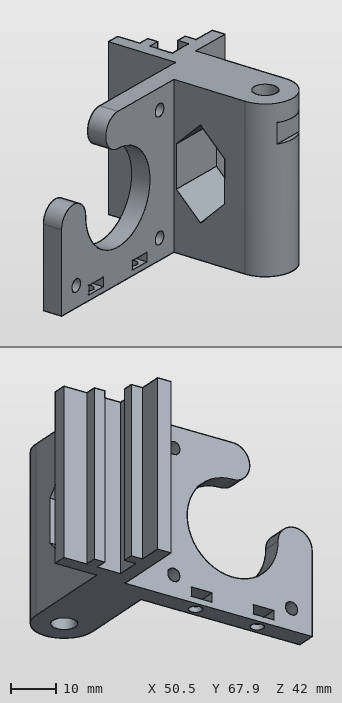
import cadquery as cq

LENGTH_X = 50.5
LENGTH_Y = 67.9
HEIGHT = 42.0
MID_Z = HEIGHT / 2

LEG_LENGTH = 18.5
LEG_THICKNESS = 3.5
RIB_OFFSET = 6.05
RIB_WIDTH = 2.8
RIB_HEIGHT = 3.0
CORNER_X = LEG_LENGTH
CORNER_Y = LENGTH_Y - LEG_LENGTH

ARM_WIDTH = 15.0
ARM_RADIUS = ARM_WIDTH / 2
ARM_END_X = LENGTH_X - ARM_RADIUS
PIVOT_DIAMETER = 6.0
NOTCH_DEPTH = 1.2
NOTCH_HEIGHT = 5.2
NOTCH_Z = 34.7

WINDOW_X = 30.75
WINDOW_WIDTH = 13.25
WINDOW_HEIGHT = 23.8
WINDOW_SIDE_HEIGHT = 11.0

PLATE_THICKNESS = 5.0
PLATE_MID_X = CORNER_X + PLATE_THICKNESS / 2
SEAT_DIAMETER = 24.0
SEAT_RADIUS = SEAT_DIAMETER / 2
FINGER_RADIUS = (MID_Z - SEAT_RADIUS) / 2
SEAT_Y = 2 * FINGER_RADIUS + SEAT_RADIUS
SCREW_DIAMETER = 3.2
SCREW_OFFSET = 15.55

NUT_SLOT_OFFSET = 8.15
NUT_SLOT_LENGTH = 5.4
NUT_SLOT_HEIGHT = 2.3
NUT_SLOT_BOTTOM = 1.4


def block(x0, x1, y0, y1, z0=0, z1=HEIGHT):
    """Box between two opposite corners."""
    return cq.Workplane("XY").box(x1 - x0, y1 - y0, z1 - z0, centered=False).translate((x0, y0, z0))


def angle_bracket():
    leg_x = block(0, CORNER_X, CORNER_Y, CORNER_Y + LEG_THICKNESS)
    leg_y = block(CORNER_X - LEG_THICKNESS, CORNER_X, CORNER_Y, LENGTH_Y)
    rib_base_y = CORNER_Y + LEG_THICKNESS
    rib_x = block(RIB_OFFSET, RIB_OFFSET + RIB_WIDTH, rib_base_y, rib_base_y + RIB_HEIGHT)
    rib_base_x = CORNER_X - LEG_THICKNESS
    rib_top_y = LENGTH_Y - RIB_OFFSET
    rib_y = block(rib_base_x - RIB_HEIGHT, rib_base_x, rib_top_y - RIB_WIDTH, rib_top_y)
    return leg_x.union(leg_y).union(rib_x).union(rib_y)


def upright_cylinder(x, y, diameter, height):
    return cq.Workplane("XY").center(x, y).circle(diameter / 2).extrude(height)


def arm():
    arm_min_y = CORNER_Y - ARM_RADIUS
    arm_max_y = CORNER_Y + ARM_RADIUS
    body = block(CORNER_X, ARM_END_X, arm_min_y, arm_max_y)
    body = body.union(upright_cylinder(ARM_END_X, CORNER_Y, ARM_WIDTH, HEIGHT))
    body = body.cut(upright_cylinder(ARM_END_X, CORNER_Y, PIVOT_DIAMETER, HEIGHT))
    notch = block(
        LENGTH_X - NOTCH_DEPTH, LENGTH_X, arm_min_y, arm_max_y,
        NOTCH_Z - NOTCH_HEIGHT / 2, NOTCH_Z + NOTCH_HEIGHT / 2,
    )
    half_width = WINDOW_WIDTH / 2
    half_height = WINDOW_HEIGHT / 2
    half_side = WINDOW_SIDE_HEIGHT / 2
    window = (
        cq.Workplane("XZ", origin=(WINDOW_X, CORNER_Y, MID_Z))
        .polyline([
            (0, half_height), (half_width, half_side), (half_width, -half_side),
            (0, -half_height), (-half_width, -half_side), (-half_width, half_side),
        ])
        .close()
        .extrude(ARM_RADIUS, both=True)
    )
    return body.cut(notch).cut(window)


def plate_workplane():
    """Plane on the outer plate face, with local axes along Y and Z."""
    return cq.Workplane("YZ", origin=(CORNER_X, 0, 0))


def hook_plate():
    seat_top = MID_Z + SEAT_RADIUS
    plate = (
        plate_workplane()
        .moveTo(0, 0)
        .lineTo(CORNER_Y, 0)
        .lineTo(CORNER_Y, HEIGHT)
        .lineTo(SEAT_Y, HEIGHT)
        .threePointArc((SEAT_Y - FINGER_RADIUS, HEIGHT - FINGER_RADIUS), (SEAT_Y, seat_top))
        .lineTo(SEAT_Y, MID_Z)
        .lineTo(2 * FINGER_RADIUS, MID_Z)
        .threePointArc((FINGER_RADIUS, MID_Z + FINGER_RADIUS), (0, MID_Z))
        .close()
        .extrude(PLATE_THICKNESS)
    )
    seat = plate_workplane().center(SEAT_Y, MID_Z).circle(SEAT_RADIUS).extrude(PLATE_THICKNESS)
    screw_points = [
        (SEAT_Y + SCREW_OFFSET, MID_Z + SCREW_OFFSET),
        (SEAT_Y + SCREW_OFFSET, MID_Z - SCREW_OFFSET),
        (SEAT_Y - SCREW_OFFSET, MID_Z - SCREW_OFFSET),
    ]
    screws = plate_workplane().pushPoints(screw_points).circle(SCREW_DIAMETER / 2).extrude(PLATE_THICKNESS)
    plate = plate.cut(seat).cut(screws)
    for slot_y in (SEAT_Y - NUT_SLOT_OFFSET, SEAT_Y + NUT_SLOT_OFFSET):
        slot = block(
            CORNER_X, CORNER_X + PLATE_THICKNESS,
            slot_y - NUT_SLOT_LENGTH / 2, slot_y + NUT_SLOT_LENGTH / 2,
            NUT_SLOT_BOTTOM, NUT_SLOT_BOTTOM + NUT_SLOT_HEIGHT,
        )
        screw = upright_cylinder(PLATE_MID_X, slot_y, SCREW_DIAMETER, NUT_SLOT_BOTTOM)
        plate = plate.cut(slot).cut(screw)
    return plate


result = angle_bracket().union(arm()).union(hook_plate())